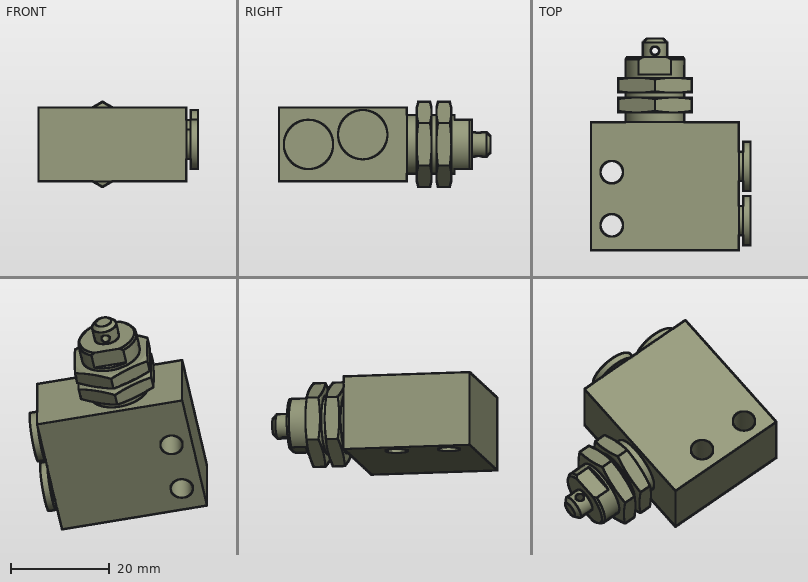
import cadquery as cq
import math

body_length = 30.0
body_width = 26.0
body_height = 15.0

mount_hole_diameter = 4.5
mount_hole_x = 4.2
mount_hole_y = 5.07
mount_hole_spacing = 10.8

stem_x = 13.0
sleeve_diameter = 12.0
sleeve_length = 13.2
sleeve_chamfer_length = 0.5
sleeve_chamfer_depth = 0.35
flat_start = 9.68
across_sleeve_flats = 10.0

plunger_diameter = 5.05
plunger_end = 43 - body_width
plunger_chamfer = 0.85
cross_hole_diameter = 1.68
cross_hole_distance = 14.5

nut_across_corners = 17.35
nut_across_flats = nut_across_corners * math.cos(math.radians(30))
nut_thickness = 3.0
nut_starts = (1.98, 5.98)
nut_chamfer_length = 0.3

fitting_y = 6.0
fitting_spacing = 11.0
fitting_step_z = 1.98
neck_diameter = 6.0
neck_length = 0.85
collar_diameter = 10.0
collar_thickness = 1.5


def stem_plane(distance):
    """Plane across the stem axis, facing +Y, at a distance from the body; its local Y is world Z."""
    origin = (stem_x, body_width + distance, 0)
    return cq.Plane(origin=origin, xDir=(-1, 0, 0), normal=(0, 1, 0))


def make_body():
    body = cq.Workplane("XY").box(body_length, body_width, body_height, centered=(False, False, True))
    holes = [(mount_hole_x, mount_hole_y + i * mount_hole_spacing) for i in range(2)]
    drills = cq.Workplane("XY").pushPoints(holes).circle(mount_hole_diameter / 2).extrude(body_height, both=True)
    return body.cut(drills)


def make_sleeve():
    radius = sleeve_diameter / 2
    sleeve = cq.Workplane(stem_plane(0)).circle(radius).extrude(sleeve_length)
    chamfer_start = sleeve_length - sleeve_chamfer_length
    envelope = (
        cq.Workplane(stem_plane(0)).circle(radius).extrude(chamfer_start)
        .faces(">Y").workplane().circle(radius)
        .workplane(offset=sleeve_chamfer_length).circle(radius - sleeve_chamfer_depth).loft()
    )
    sleeve = sleeve.intersect(envelope)
    flat_length = sleeve_length - flat_start
    ring = (
        cq.Workplane(stem_plane(flat_start))
        .rect(sleeve_diameter, 2 * sleeve_diameter)
        .rect(sleeve_diameter, across_sleeve_flats)
        .extrude(flat_length)
    )
    return sleeve.cut(ring)


def make_plunger():
    plunger = (
        cq.Workplane(stem_plane(0)).circle(plunger_diameter / 2).extrude(plunger_end)
        .faces(">Y").chamfer(plunger_chamfer)
    )
    cross_hole = (
        cq.Workplane("XY").center(stem_x, body_width + cross_hole_distance)
        .circle(cross_hole_diameter / 2).extrude(plunger_diameter, both=True)
    )
    return plunger.cut(cross_hole)


def make_nut(start):
    hexagon = (
        cq.Workplane(stem_plane(start)).transformed(rotate=(0, 0, 90))
        .polygon(6, nut_across_corners).extrude(nut_thickness)
    )
    corner = nut_across_corners / 2
    inscribed = nut_across_flats / 2
    y_start = body_width + start
    y_end = y_start + nut_thickness
    half_profile = [
        (0, y_start),
        (inscribed, y_start),
        (corner, y_start + nut_chamfer_length),
        (corner, y_end - nut_chamfer_length),
        (inscribed, y_end),
        (0, y_end),
    ]
    envelope = cq.Workplane("XY").polyline(half_profile).close().revolve(360, (0, 0), (0, 1))
    return hexagon.intersect(envelope.translate((stem_x, 0, 0)))


def make_fitting(y, z):
    face = cq.Workplane("YZ", origin=(body_length, y, z))
    neck = face.circle(neck_diameter / 2).extrude(neck_length)
    collar = face.workplane(offset=neck_length).circle(collar_diameter / 2).extrude(collar_thickness)
    return neck.union(collar)


result = make_body().union(make_sleeve()).union(make_plunger())
for nut_start in nut_starts:
    result = result.union(make_nut(nut_start))
for index in range(2):
    result = result.union(make_fitting(fitting_y + index * fitting_spacing, index * fitting_step_z))